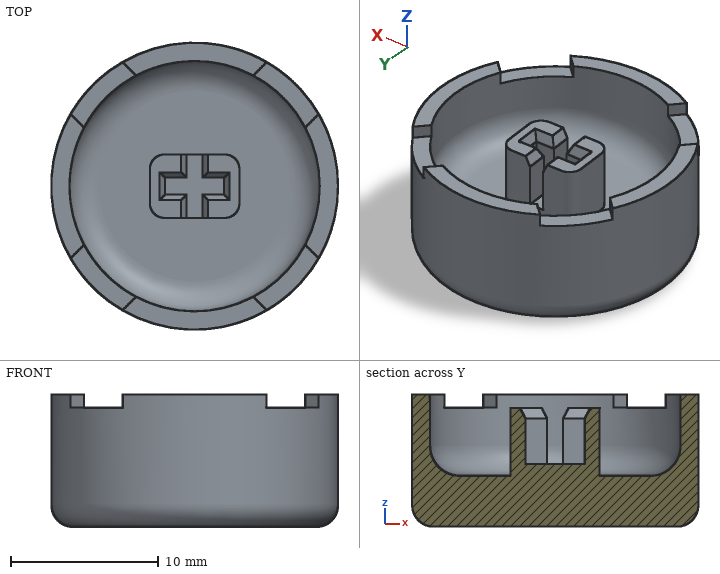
import cadquery as cq

outer_diameter = 19.5
inner_diameter = 17.0
height = 9.0
floor_thickness = 3.5
bottom_fillet = 1.5
floor_fillet = 2.0

notch_width = 5.0
notch_depth = 0.9
diagonal_angles = (45, 135)

stem_length = 6.08
stem_width = 4.3
stem_height = 4.6
stem_corner_radius = 1.0
stem_top = floor_thickness + stem_height

socket_depth = 3.8
socket_arm_length = 4.02
socket_arm_width = 1.15
socket_slot_width = 1.1
lead_in_width = 0.37
lead_in_depth = 0.72


def make_cup():
    body = cq.Workplane("XY").circle(outer_diameter / 2).extrude(height)
    body = body.faces("<Z").edges().fillet(bottom_fillet)
    cavity = (
        cq.Workplane("XY", origin=(0, 0, floor_thickness))
        .circle(inner_diameter / 2)
        .extrude(height - floor_thickness)
        .faces("<Z").edges().fillet(floor_fillet)
    )
    return body.cut(cavity)


def make_notch(angle):
    """Bar across the whole rim, cutting two opposite notches."""
    return (
        cq.Workplane("XY", origin=(0, 0, height - notch_depth))
        .rect(2 * outer_diameter, notch_width)
        .extrude(notch_depth)
        .rotate((0, 0, 0), (0, 0, 1), angle)
    )


def make_socket_bar(length, width):
    """Straight-walled bar that flares out to a lead-in at the stem top."""
    bar = (
        cq.Workplane("XY", origin=(0, 0, stem_top - socket_depth))
        .rect(length, width)
        .extrude(socket_depth)
    )
    lead_in = (
        cq.Workplane("XY", origin=(0, 0, stem_top - lead_in_depth))
        .rect(length, width)
        .workplane(offset=lead_in_depth)
        .rect(length + 2 * lead_in_width, width + 2 * lead_in_width)
        .loft(ruled=True)
    )
    return bar.union(lead_in)


def make_stem():
    stem = (
        cq.Workplane("XY", origin=(0, 0, floor_thickness))
        .rect(stem_length, stem_width)
        .extrude(stem_height)
        .edges("|Z").fillet(stem_corner_radius)
    )
    slot_length = 2 * stem_width
    stem = stem.cut(make_socket_bar(socket_arm_length, socket_arm_width))
    return stem.cut(make_socket_bar(socket_slot_width, slot_length))


cup = make_cup()
for diagonal_angle in diagonal_angles:
    cup = cup.cut(make_notch(diagonal_angle))

result = cup.union(make_stem())